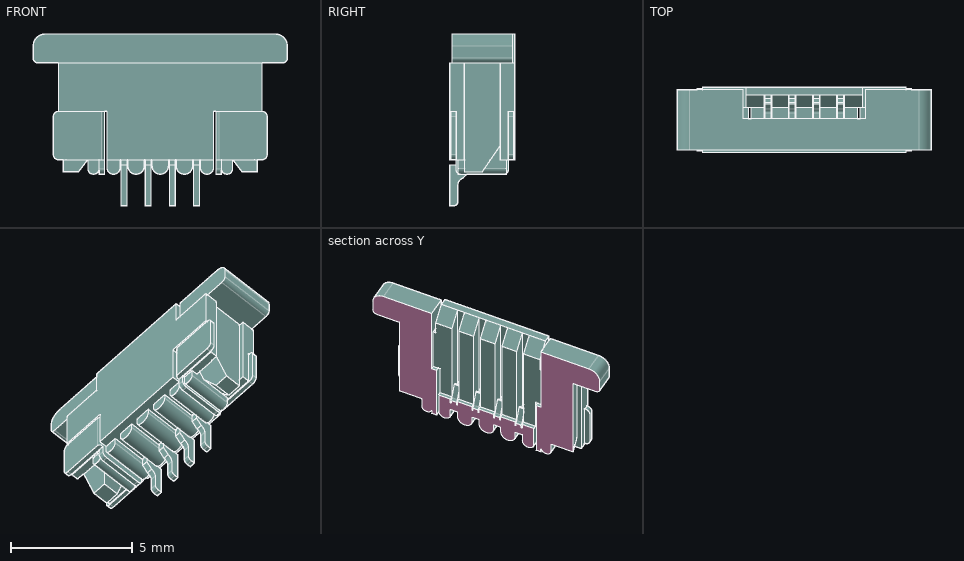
import cadquery as cq


housing_length = 8.4
housing_depth = 2.7
housing_top = 4.0
wall_inner_y = 0.72
slot_half_length = 2.52
slot_back_y = 0.5
slot_front_y = 0.05
slot_floor_z = 0.63
groove_floor_z = 0.42
tongue_half_length = 2.4
tongue_edge_y = 1.02
tongue_slope_drop = 0.63
tongue_top = 5.2

bar_length = 10.5
bar_depth = 2.5
bar_top_radius = 0.5
bar_bottom_radius = 0.2
arm_half_span = 4.01
arm_bottom_z = -0.49
arm_tip_inner_x = 3.37
arm_bevel_top_z = 0.57
arm_bevel_bottom_y = 0.0
arm_gap = 0.02
arm_gap_depth = 0.32

clip_half_span = 4.42
clip_top = 2.01
clip_outer_y = 1.29
clip_plate = 0.2
clip_web = 0.22
clip_corner_radius = 0.22
clip_bend_radius = 0.13
clip_inner_x = 2.3
clip_recess_x = 2.2
clip_clearance = 0.03

contact_count = 4
contact_pitch = 1.0
contact_width = 0.25
contact_slot_width = 0.32
tail_thickness = 0.35
tail_top_z = -0.21
tail_bottom_z = -1.9
tail_toe_radius = 0.18
tail_bend_bottom_z = -1.05
tail_bend_top_y = -0.8
tail_bend_top_z = -0.76
tail_root_y = -0.52

spring_foot_z = 0.55
spring_flat_end_y = 0.29
spring_heel_y = 0.44
spring_heel_z = 0.65
spring_crest_front_y = 0.66
spring_crest_back_y = 0.71
spring_crest_z = 1.23
spring_dip_y = 0.88
spring_dip_z = 1.03
spring_end_z = 1.08

rib_bottom = -0.6
rib_half_depth = 1.0
rib_overlap = 0.1
clip_rib_outer_x = 2.99

contact_xs = [(i - (contact_count - 1) / 2) * contact_pitch for i in range(contact_count)]
wall_y = housing_depth / 2
clip_inner_y = clip_outer_y - clip_plate


def block(x0, x1, y0, y1, z0, z1):
    """Axis-aligned box between two corners."""
    return cq.Workplane("XY").box(x1 - x0, y1 - y0, z1 - z0, centered=False).translate((x0, y0, z0))


def mirrored_pair(solid):
    """The solid together with its mirror image at the opposite end of X."""
    return solid.union(solid.mirror("YZ"))


def extrude_along_x(outline, x_center, width):
    """Extrude a closed outline drawn in Y and Z, centred on x_center."""
    return outline.extrude(width / 2, both=True).translate((x_center, 0, 0))


def make_housing():
    """Housing block with the tongue that guides the cable into the slot."""
    half = housing_length / 2
    body = block(-half, half, -wall_y, wall_y, 0, housing_top)
    tongue_foot_z = tongue_top - tongue_slope_drop
    tongue = extrude_along_x(
        cq.Workplane("YZ")
        .moveTo(wall_y, housing_top)
        .lineTo(wall_y, tongue_top)
        .lineTo(tongue_edge_y, tongue_top)
        .lineTo(slot_back_y, tongue_foot_z)
        .lineTo(slot_back_y, housing_top)
        .close(),
        0, 2 * tongue_half_length,
    )
    return body.union(tongue)


def cut_end_pockets(body):
    """Set the ends back between the walls, where the lock bar arms sit."""
    half = housing_length / 2
    pocket = block(arm_half_span, half, -wall_inner_y, wall_inner_y, 0, housing_top)
    for side in (-1, 1):
        y = side * (wall_inner_y + arm_gap / 2)
        gap = block(half - arm_gap_depth, half, y - arm_gap / 2, y + arm_gap / 2, 0, housing_top)
        pocket = pocket.union(gap)
    bevel = extrude_along_x(
        cq.Workplane("YZ")
        .moveTo(wall_inner_y, arm_bevel_top_z)
        .lineTo(arm_bevel_bottom_y, arm_bottom_z)
        .lineTo(wall_inner_y, arm_bottom_z)
        .close(),
        (arm_half_span + clip_rib_outer_x) / 2, arm_half_span - clip_rib_outer_x,
    )
    return body.cut(mirrored_pair(pocket)).cut(mirrored_pair(bevel))


def make_arm_tips():
    """Parts of the arms that hang below the housing walls."""
    tip = (
        cq.Workplane("XZ")
        .moveTo(clip_rib_outer_x, 0)
        .lineTo(arm_tip_inner_x, arm_bottom_z)
        .lineTo(arm_half_span, arm_bottom_z)
        .lineTo(arm_half_span, 0)
        .close()
        .extrude(2 * wall_inner_y)
        .translate((0, wall_inner_y, 0))
    )
    return mirrored_pair(tip)


def make_lock_bar():
    """Bar with rounded ends, notched on the cable side around the tongue."""
    bar = block(-bar_length / 2, bar_length / 2, -bar_depth / 2, bar_depth / 2, housing_top, tongue_top)
    bar = bar.edges("|Y and >Z").fillet(bar_top_radius)
    bar = bar.edges("|Y and <Z").fillet(bar_bottom_radius)
    notch = block(-slot_half_length, slot_half_length, slot_front_y, wall_y, housing_top, tongue_top)
    return bar.cut(notch)


def make_cable_slot():
    """Slot for the cable, with a groove for each contact in its floor and back wall."""
    slot = block(-slot_half_length, slot_half_length, slot_front_y, slot_back_y, slot_floor_z, tongue_top)
    half = contact_slot_width / 2
    for x in contact_xs:
        slot = slot.union(block(x - half, x + half, slot_front_y, tongue_edge_y, groove_floor_z, tongue_top))
    return slot


def make_clip_recess():
    """Through gap beside a clip web, with relief for the two clip plates."""
    gap = block(clip_recess_x, clip_inner_x, -wall_y, wall_y, 0, clip_top)
    for side in (-1, 1):
        low, high = sorted((side * (clip_inner_y - clip_clearance), side * wall_y))
        gap = gap.union(block(clip_recess_x, housing_length / 2, low, high, 0, clip_top))
    return gap


def make_clip():
    """U-shaped clip: a web across the connector joining two plates on its outer sides."""
    web_outer_x = clip_inner_x + clip_web
    web = block(clip_inner_x, web_outer_x, -clip_inner_y, clip_inner_y, rib_bottom, clip_top)
    web = web.edges("|X and <Z").fillet(clip_corner_radius)
    plate = block(clip_inner_x, clip_half_span, clip_inner_y, clip_outer_y, 0, clip_top)
    plate = plate.edges("|Y and >X").fillet(clip_corner_radius)
    plate = plate.edges("|Z and <X and >Y").fillet(clip_bend_radius)
    return web.union(plate).union(plate.mirror("XZ"))


def make_rib(x0, x1):
    """Rib under the housing with a fully rounded bottom edge."""
    radius = (x1 - x0) / 2
    return (
        cq.Workplane("XZ")
        .moveTo(x0, rib_overlap)
        .lineTo(x0, rib_bottom + radius)
        .threePointArc(((x0 + x1) / 2, rib_bottom), (x1, rib_bottom + radius))
        .lineTo(x1, rib_overlap)
        .close()
        .extrude(rib_half_depth, both=True)
    )


def make_ribs():
    """Ribs between the contacts, plus one outside each clip web."""
    starts = [-clip_recess_x] + [x + contact_slot_width / 2 for x in contact_xs]
    ends = [x - contact_slot_width / 2 for x in contact_xs] + [clip_recess_x]
    ribs = mirrored_pair(make_rib(clip_inner_x + clip_web, clip_rib_outer_x))
    for x0, x1 in zip(starts, ends):
        ribs = ribs.union(make_rib(x0, x1))
    return ribs


def make_tail(x):
    """Contact tail: a foot flush with the front wall, bent back up under the housing."""
    tail_back_y = -wall_y + tail_thickness
    toe_center_y = tail_back_y - tail_toe_radius
    toe_center_z = tail_bottom_z + tail_toe_radius
    root_z = tail_bend_top_z + tail_root_y - tail_bend_top_y
    return extrude_along_x(
        cq.Workplane("YZ")
        .moveTo(-wall_y, tail_top_z)
        .lineTo(-wall_y, tail_bottom_z)
        .lineTo(toe_center_y, tail_bottom_z)
        .tangentArcPoint((tail_back_y, toe_center_z), relative=False)
        .lineTo(tail_back_y, tail_bend_bottom_z)
        .tangentArcPoint((tail_bend_top_y, tail_bend_top_z), relative=False)
        .lineTo(tail_root_y, root_z)
        .lineTo(tail_root_y, rib_overlap)
        .lineTo(-rib_half_depth, rib_overlap)
        .lineTo(-rib_half_depth, tail_top_z)
        .close(),
        x, contact_width,
    )


def make_spring(x):
    """Contact spring rising from its groove to a crest that presses on the cable."""
    return extrude_along_x(
        cq.Workplane("YZ")
        .moveTo(slot_front_y, groove_floor_z)
        .lineTo(slot_front_y, spring_foot_z)
        .lineTo(spring_flat_end_y, spring_foot_z)
        .tangentArcPoint((spring_heel_y, spring_heel_z), relative=False)
        .lineTo(spring_crest_front_y, spring_crest_z)
        .lineTo(spring_crest_back_y, spring_crest_z)
        .lineTo(spring_dip_y, spring_dip_z)
        .lineTo(tongue_edge_y, spring_end_z)
        .lineTo(tongue_edge_y, groove_floor_z)
        .close(),
        x, contact_width,
    )


body = make_housing().union(make_arm_tips())
body = cut_end_pockets(body)
body = body.union(make_lock_bar()).cut(make_cable_slot())
body = body.cut(mirrored_pair(make_clip_recess()))
body = body.union(make_ribs()).union(mirrored_pair(make_clip()))
for contact_x in contact_xs:
    body = body.union(make_tail(contact_x)).union(make_spring(contact_x))

result = body